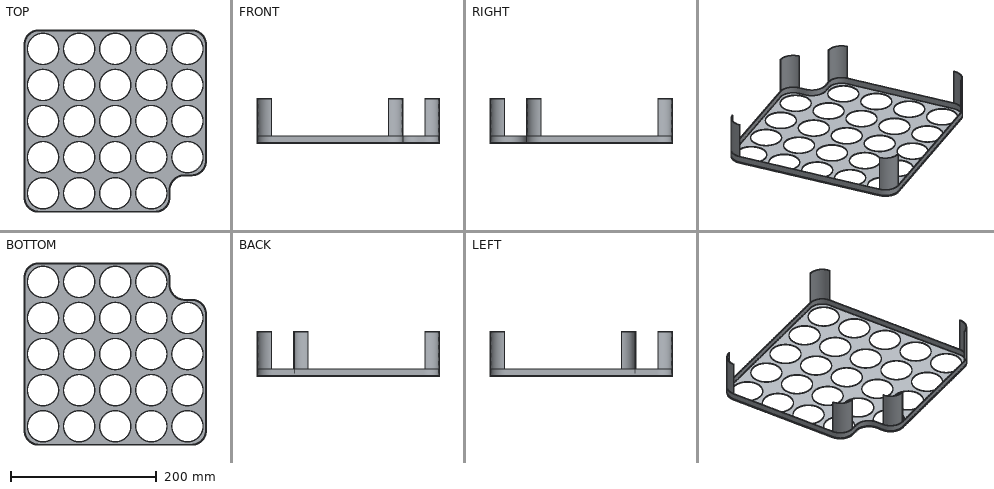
import cadquery as cq
import math

side = 250.0
notch = 50.0
corner_radius = 20.0
wall = 1.2
floor_thickness = 1.2
rim_top = 10.2
total_height = 61.2
hole_diameter = 42.5
hole_pitch = 49.5
holes_per_side = 5

half = side / 2
notch_edge = half - notch
corner_center = half - corner_radius
notch_corner_center = notch_edge - corner_radius


def footprint(height, base):
    """Solid tray outline: a square with one notched corner, all corners rounded."""
    corners = [
        (-half, -half),
        (notch_edge, -half),
        (notch_edge, -notch_edge),
        (half, -notch_edge),
        (half, half),
        (-half, half),
    ]
    outline = cq.Workplane("XY").workplane(offset=base).polyline(corners).close()
    return outline.extrude(height).edges("|Z").fillet(corner_radius)


def make_floor():
    """Floor plate with a grid of round holes, leaving out the notched corner."""
    first = -hole_pitch * (holes_per_side - 1) / 2
    centers = []
    for column in range(holes_per_side):
        for row in range(holes_per_side):
            in_notch = column == holes_per_side - 1 and row == 0
            if not in_notch:
                centers.append((first + column * hole_pitch, first + row * hole_pitch))
    holes = (
        cq.Workplane("XY")
        .pushPoints(centers)
        .circle(hole_diameter / 2)
        .extrude(floor_thickness)
    )
    return footprint(floor_thickness, 0).cut(holes)


def make_rim():
    """Thin upright wall that stands on the floor and follows its outline."""
    block = footprint(rim_top - floor_thickness, floor_thickness)
    inside = block.faces(">Z").wires().toPending().offset2D(-wall)
    cavity = inside.extrude(floor_thickness - rim_top, combine=False)
    return block.cut(cavity)


def make_post(center, x_side, y_side):
    """Quarter-tube post on the rim, bulging toward the given X and Y sides."""
    inner_radius = corner_radius - wall
    diagonal = math.sqrt(0.5)
    x, y = center

    def along_x(radius):
        return (x + x_side * radius, y)

    def along_y(radius):
        return (x, y + y_side * radius)

    def middle(radius):
        return (x + x_side * radius * diagonal, y + y_side * radius * diagonal)

    return (
        cq.Workplane("XY")
        .workplane(offset=rim_top)
        .moveTo(*along_x(corner_radius))
        .threePointArc(middle(corner_radius), along_y(corner_radius))
        .lineTo(*along_y(inner_radius))
        .threePointArc(middle(inner_radius), along_x(inner_radius))
        .close()
        .extrude(total_height - rim_top)
    )


post_places = [
    ((-corner_center, -corner_center), -1, -1),
    ((-corner_center, corner_center), -1, 1),
    ((corner_center, corner_center), 1, 1),
    ((corner_center, -notch_corner_center), 1, -1),
    ((notch_corner_center, -corner_center), 1, -1),
]

tray_floor = make_floor()
rim = make_rim()
posts = [make_post(*place) for place in post_places]

result = cq.Compound.makeCompound([tray_floor.val(), rim.val(), *[post.val() for post in posts]])